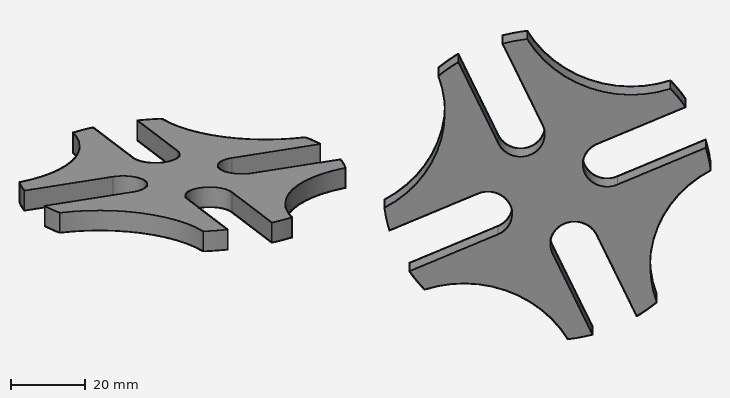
import cadquery as cq
import math

span = 87.2
thickness = 5.8
slot_width = 13.0
slot_center = 17.5
tip_offset = 13.1
scallop_radius = 32.0
slot_count = 4

half_span = span / 2
slot_radius = slot_width / 2
wheel_radius = math.hypot(half_span, slot_radius)
tip_reach = math.sqrt(wheel_radius**2 - tip_offset**2)

corner_along_diagonal = (tip_reach + tip_offset) / math.sqrt(2)
corner_off_diagonal = (tip_reach - tip_offset) / math.sqrt(2)
scallop_distance = corner_along_diagonal + math.sqrt(scallop_radius**2 - corner_off_diagonal**2)


def make_slot():
    """Radial slot along +X with a round inner end, open at the rim."""
    length = wheel_radius - slot_center
    channel = (
        cq.Workplane("XY")
        .center(slot_center + length / 2, 0)
        .rect(length, slot_width)
        .extrude(thickness)
    )
    round_end = cq.Workplane("XY").center(slot_center, 0).circle(slot_radius).extrude(thickness)
    return channel.union(round_end)


def make_scallop():
    """Round cutter on the diagonal between two slots."""
    center = scallop_distance / math.sqrt(2)
    return cq.Workplane("XY").center(center, center).circle(scallop_radius).extrude(thickness)


result = cq.Workplane("XY").circle(wheel_radius).extrude(thickness)
for index in range(slot_count):
    angle = index * 360 / slot_count
    for cutter in (make_slot(), make_scallop()):
        result = result.cut(cutter.rotate((0, 0, 0), (0, 0, 1), angle))